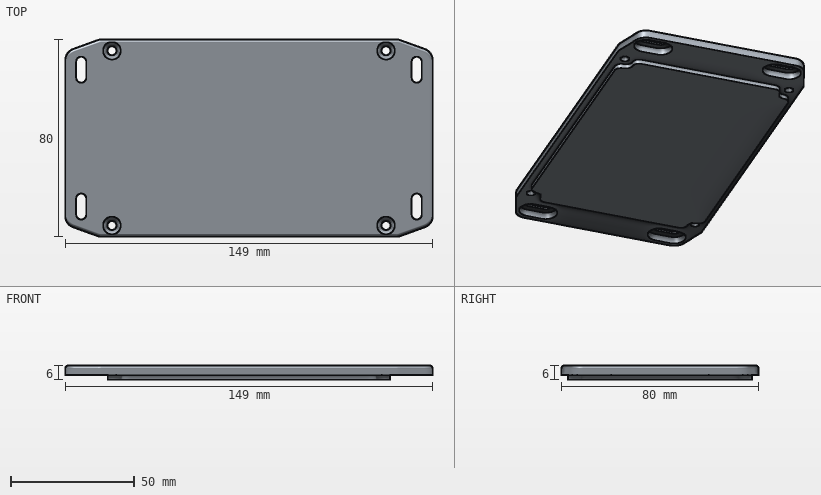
import cadquery as cq

plate_length = 149.0
plate_width = 80.0
plate_thickness = 4.0
corner_cut_x = 14.0
corner_cut_y = 5.0
end_corner_radius = 5.0
side_corner_radius = 3.7
top_edge_radius = 1.5

pad_length = 114.5
pad_width = 74.6
pad_height = 2.0
pad_corner_radius = 2.8

screw_spacing_x = 111.0
screw_spacing_y = 70.8
screw_diameter = 3.6
countersink_diameter = 7.2
countersink_angle = 90.0

slot_spacing_x = 135.9
slot_spacing_y = 55.5
slot_length = 10.5
slot_width = 4.0
slot_web_thickness = 1.0
slot_recess_margin = 2.7


def make_plate():
    half_x = plate_length / 2
    half_y = plate_width / 2
    cut_x = half_x - corner_cut_x
    cut_y = half_y - corner_cut_y
    outline = [
        (cut_x, half_y),
        (half_x, cut_y),
        (half_x, -cut_y),
        (cut_x, -half_y),
        (-cut_x, -half_y),
        (-half_x, -cut_y),
        (-half_x, cut_y),
        (-cut_x, half_y),
    ]
    plate = cq.Workplane("XY").polyline(outline).close().extrude(plate_thickness)
    plate = plate.faces("<X or >X").edges("|Z").fillet(end_corner_radius)
    plate = plate.faces("<Y or >Y").edges("|Z").fillet(side_corner_radius)
    return plate.faces(">Z").edges().fillet(top_edge_radius)


def make_pad():
    half_x = pad_length / 2
    half_y = pad_width / 2
    r = pad_corner_radius
    quarter = (
        cq.Workplane("XY")
        .lineTo(half_x, 0)
        .lineTo(half_x, half_y - 3 * r)
        .tangentArcPoint((half_x - r, half_y - 2 * r), relative=False)
        .tangentArcPoint((half_x - 2 * r, half_y - r), relative=False)
        .tangentArcPoint((half_x - 3 * r, half_y), relative=False)
        .lineTo(0, half_y)
        .close()
        .extrude(-pad_height)
    )
    half = quarter.union(quarter.mirror("YZ"))
    return half.union(half.mirror("XZ")).clean()


def cut_screw_holes(body):
    return (
        body.faces(">Z")
        .workplane(origin=(0, 0, plate_thickness))
        .rarray(screw_spacing_x, screw_spacing_y, 2, 2)
        .cskHole(screw_diameter, countersink_diameter, countersink_angle)
    )


def slot_set(length, width, height):
    return (
        cq.Workplane("XY")
        .rarray(slot_spacing_x, slot_spacing_y, 2, 2)
        .slot2D(length, width, 90)
        .extrude(height)
    )


def cut_slots(body):
    slots = slot_set(slot_length, slot_width, plate_thickness)
    recesses = slot_set(
        slot_length + 2 * slot_recess_margin,
        slot_width + 2 * slot_recess_margin,
        plate_thickness - slot_web_thickness,
    )
    return body.cut(slots).cut(recesses)


plate_with_pad = make_plate().union(make_pad())
result = cut_slots(cut_screw_holes(plate_with_pad))